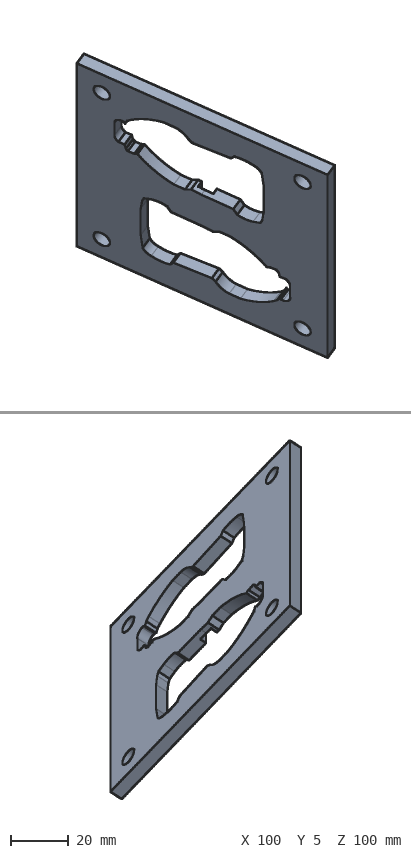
import cadquery as cq

plate_side = 100.0
plate_thickness = 5.0

hole_diameter = 6.5
hole_inset = 10.0

cap_end_x = -35.0
base_end_x = 24.5
cutout_turns = (0, 180)

channel_width = 6.0
channel_depth = plate_thickness / 2
channel_length = 24.0

back_face = cq.Workplane("XZ", origin=(0, plate_thickness / 2, 0))


def make_plate():
    return back_face.rect(plate_side, plate_side).extrude(plate_thickness)


def make_mounting_holes():
    spacing = plate_side - 2 * hole_inset
    return (
        back_face.rect(spacing, spacing, forConstruction=True)
        .vertices()
        .circle(hole_diameter / 2)
        .extrude(plate_thickness)
    )


def make_bottle_cutout():
    """Prism of the bottle outline, drawn clockwise from the lower end of the cap."""
    outline = back_face.moveTo(cap_end_x, 19.7)

    outline = (
        outline.lineTo(cap_end_x, 26.0)
        .threePointArc((-34.1, 28.6), (-32.3, 29.5))
        .lineTo(-31.4, 29.4)
        .lineTo(-30.7, 28.7)
    )

    outline = (
        outline.lineTo(-30.0, 30.6)
        .lineTo(-28.6, 32.0)
        .threePointArc((-22.5, 36.2), (-15.3, 38.8))
        .lineTo(-10.8, 38.8)
        .threePointArc((-7.8, 37.8), (-5.4, 35.5))
        .lineTo(-3.9, 34.5)
    )

    outline = (
        outline.lineTo(11.5, 35.5)
        .lineTo(12.8, 37.3)
        .threePointArc((16.5, 37.7), (20.3, 37.2))
        .threePointArc((22.3, 36.4), (23.7, 34.8))
    )

    outline = (
        outline.lineTo(base_end_x, 28.4)
        .lineTo(base_end_x, 13.9)
        .lineTo(23.9, 9.2)
        .lineTo(23.2, 7.4)
    )

    outline = (
        outline.lineTo(20.3, 6.3)
        .threePointArc((17.2, 5.8), (14.0, 6.3))
        .lineTo(12.4, 8.4)
        .lineTo(-0.3, 8.5)
        .lineTo(-4.4, 8.9)
    )

    outline = (
        outline.lineTo(-6.8, 7.4)
        .lineTo(-11.3, 7.4)
        .threePointArc((-19.2, 10.4), (-25.8, 15.2))
    )

    outline = (
        outline.lineTo(-27.0, 14.6)
        .lineTo(-29.6, 14.4)
        .lineTo(-30.4, 15.2)
        .lineTo(-30.9, 17.3)
        .lineTo(-33.4, 17.2)
        .threePointArc((-34.5, 18.2), (cap_end_x, 19.7))
    )
    return outline.close().extrude(plate_thickness)


def make_channel():
    return back_face.rect(channel_width, channel_length).extrude(channel_depth)


result = make_plate().cut(make_mounting_holes()).cut(make_channel())

bottle_cutout = make_bottle_cutout()
for turn in cutout_turns:
    result = result.cut(bottle_cutout.rotate((0, 0, 0), (0, 1, 0), turn))